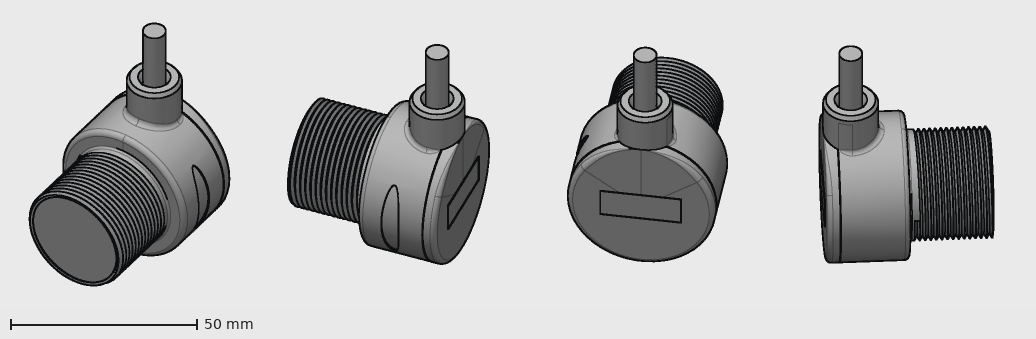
import cadquery as cq
import math


head_radius = 20.12
head_length = 22.5
head_edge_radius = 1.5
lid_thickness = 3.75
lid_taper_angle = 55
faded_radius = 0.05
parting_groove_width = 0.2
parting_groove_depth = 0.1

barrel_radius = 15.0
barrel_length = 22.7
barrel_root_fillet = 0.6
sensing_face_radius = 13.6
sensing_face_height = 0.2
thread_pitch = 1.5
thread_groove_width = 1.4
thread_flank_angle = 30
thread_start = 2.0
thread_cutter_margin = 0.06

outlet_radius = 7.45
outlet_top = 31.0
outlet_cap_height = 2.5
outlet_chamfer_height = 1.25
outlet_chamfer_width = 0.8
outlet_fillet = 1.5
cable_radius = 3.1
cable_top = 67.42 - head_radius
cable_mouth_radius = 4.4
cable_mouth_depth = 2.5

rear_plate_width = 22.0
rear_plate_height = 8.2
rear_plate_thickness = 45.42 - head_length - barrel_length
side_recess_length = 23.0
side_recess_width = 5.0
side_recess_depth = 0.4
side_recess_y = 9.4

parting_y = head_length - lid_thickness
outlet_y = head_length - outlet_radius
thread_end = barrel_length - sensing_face_height


def disc_along_y(radius, start_y, end_y):
    start = cq.Workplane("XZ", origin=(0, start_y, 0))
    return start.circle(radius).extrude(start_y - end_y)


def mirrored_about_yz(half):
    return half.union(half.mirror("YZ"))


def variable_fillet(body, edges, radius_at_vertex):
    """Round a chain of tangent edges with a radius that runs between the values at its vertices."""
    maker = cq.occ_impl.shapes.BRepFilletAPI_MakeFillet(body.val().wrapped)
    maker.Add(edges[0].wrapped)
    for edge in edges:
        for vertex in edge.Vertices():
            maker.SetRadius(radius_at_vertex(vertex), 1, vertex.wrapped)
    return cq.Workplane(cq.Shape.cast(maker.Shape()))


def make_outlet_column():
    base = cq.Workplane("XY", origin=(0, outlet_y, 0))
    return base.circle(outlet_radius).extrude(outlet_top - outlet_cap_height)


def right_slab(start_y, end_y):
    """Block on the +X side that spans the head between two Y positions."""
    corner = cq.Workplane("XY", origin=(0, start_y, 0))
    return corner.box(
        2 * head_radius, end_y - start_y, 4 * head_radius, centered=(False, False, True)
    )


def make_housing():
    """Front part of the head, blended into its share of the outlet by a fillet that is
    full around the front half of the outlet and fades out towards the parting plane."""
    housing = disc_along_y(head_radius, 0, parting_y)
    housing = housing.faces("<Y").edges().fillet(head_edge_radius)
    half = housing.intersect(right_slab(0, parting_y))
    for start_y, end_y in ((0, outlet_y), (outlet_y, parting_y)):
        outlet_part = make_outlet_column().intersect(right_slab(start_y, end_y))
        half = half.union(outlet_part, clean=False)
    seam = half.edges("%BSPLINE").vals()

    def seam_radius(vertex):
        at_parting = vertex.Y > parting_y - faded_radius
        return faded_radius if at_parting else outlet_fillet

    return mirrored_about_yz(variable_fillet(half, seam, seam_radius))


def lid_sector(sweep_angle):
    """Sector of the lid that starts at the top (+Z) and sweeps towards +X."""
    section = cq.Workplane("YZ").moveTo(parting_y, 0)
    section = section.rect(lid_thickness, head_radius, centered=False)
    return section.revolve(sweep_angle, (0, 0, 0), (1, 0, 0))


def make_lid():
    """Lid whose rear rounding is full below and fades out towards the outlet."""
    taper = lid_sector(lid_taper_angle)
    plain = lid_sector(360 - 2 * lid_taper_angle).rotate((0, 0, 0), (0, 1, 0), lid_taper_angle)
    lid = plain.union(taper, clean=False).union(taper.mirror("YZ"), clean=False)
    rim = lid.faces(">Y").edges("%CIRCLE").vals()

    def rim_radius(vertex):
        at_outlet = vertex.Z > head_radius - faded_radius
        return faded_radius if at_outlet else head_edge_radius

    return variable_fillet(lid, rim, rim_radius)


def make_parting_groove():
    outer = disc_along_y(2 * head_radius, parting_y, parting_y + parting_groove_width)
    inner = disc_along_y(head_radius - parting_groove_depth, 0, head_length)
    return outer.cut(inner)


def make_outlet_cap():
    """Chamfered top of the outlet."""
    base = cq.Workplane("XY", origin=(0, outlet_y, outlet_top - outlet_cap_height))
    cap = base.circle(outlet_radius).extrude(outlet_cap_height)
    return cap.faces(">Z").edges().chamfer(outlet_chamfer_height, outlet_chamfer_width)


def make_cable_mouth():
    """Conical recess that narrows from the top of the outlet down to the cable."""
    section = cq.Workplane("XZ", origin=(0, outlet_y, outlet_top))
    section = section.polyline(
        [(0, 0), (cable_mouth_radius, 0), (cable_radius, -cable_mouth_depth), (0, -cable_mouth_depth)]
    )
    return section.close().revolve(360, (0, 0, 0), (0, 1, 0))


def make_cable():
    start_z = outlet_top - 2 * cable_mouth_depth
    base = cq.Workplane("XY", origin=(0, outlet_y, start_z))
    return base.circle(cable_radius).extrude(cable_top - start_z)


def make_thread_groove():
    """V groove of the right-hand thread; it starts at the -X side and runs out through the end."""
    flank_slope = math.tan(math.radians(thread_flank_angle))
    root_radius = barrel_radius - thread_groove_width / 2 / flank_slope
    outer_radius = barrel_radius + thread_cutter_margin
    outer_half_width = (outer_radius - root_radius) * flank_slope
    profile = cq.Workplane("XZ").polyline(
        [
            (root_radius, 0),
            (outer_radius, outer_half_width),
            (outer_radius, -outer_half_width),
        ]
    )
    groove_length = barrel_length - thread_start + thread_pitch
    helix = cq.Workplane(cq.Wire.makeHelix(thread_pitch, groove_length, barrel_radius))
    groove = profile.close().sweep(helix, isFrenet=True)
    groove = groove.rotate((0, 0, 0), (0, 0, 1), 180)
    groove = groove.rotate((0, 0, 0), (1, 0, 0), 90)
    return groove.translate((0, -thread_start, 0))


def make_root_fillet():
    """Disc at the shoulder whose concave edge blends the barrel into the head."""
    section = cq.Workplane("XY").lineTo(barrel_radius + barrel_root_fillet, 0)
    section = section.radiusArc((barrel_radius, -barrel_root_fillet), -barrel_root_fillet)
    section = section.lineTo(0, -barrel_root_fillet)
    return section.close().revolve(360, (0, 0, 0), (0, 1, 0))


def make_barrel():
    """Threaded rod cut off at the end of the thread, with the sensing face in front of it."""
    thread = disc_along_y(barrel_radius, 0, -barrel_length).cut(make_thread_groove())
    thread = thread.intersect(disc_along_y(2 * barrel_radius, 0, -thread_end))
    sensing_face = disc_along_y(sensing_face_radius, 0, -barrel_length)
    return thread.union(sensing_face).union(make_root_fillet())


def make_rear_plate():
    base = cq.Workplane("XZ", origin=(0, head_length, 0))
    return base.rect(rear_plate_width, rear_plate_height).extrude(-rear_plate_thickness)


def make_side_recess():
    """Elliptical recess of constant depth on the +X side of the housing."""
    start = cq.Workplane("YZ", origin=(0, side_recess_y, 0))
    column = start.ellipse(side_recess_width / 2, side_recess_length / 2).extrude(2 * head_radius)
    return column.cut(disc_along_y(head_radius - side_recess_depth, 0, head_length))


head = make_housing().union(make_lid()).cut(make_parting_groove()).cut(make_side_recess())
outlet = make_outlet_column().union(make_outlet_cap())
head = head.union(outlet).cut(make_cable_mouth()).union(make_cable())
result = head.union(make_rear_plate()).union(make_barrel())